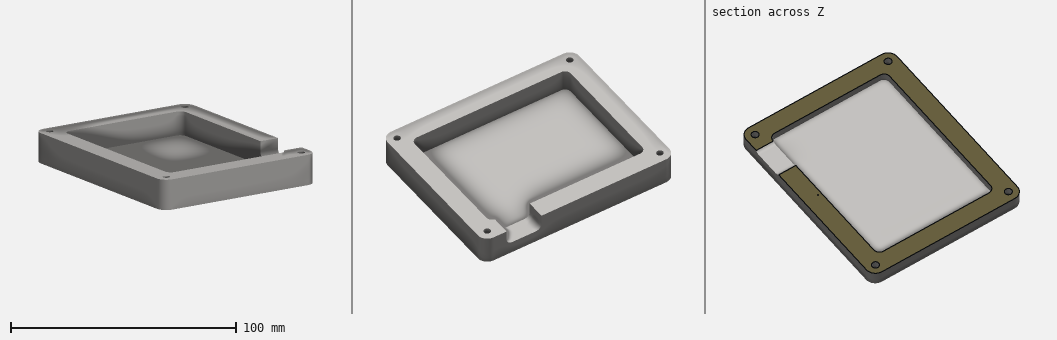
import cadquery as cq

length = 102.0
width = 82.5
height = 14.0
corner_radius = 5.0

wall = 9.5
floor_thickness = 3.0
inner_diameter = 6.0

hole_diameter = 3.4

notch_width = 18.6
notch_center_x = 29.7
notch_floor = 6.0

inner_radius = inner_diameter / 2
pocket_length = length - 2 * wall
pocket_width = width - 2 * wall


def make_block():
    block = cq.Workplane("XY").box(length, width, height, centered=(True, True, False))
    return block.edges("|Z").fillet(corner_radius)


def make_pocket():
    pocket = (
        cq.Workplane("XY", origin=(0, 0, floor_thickness))
        .rect(pocket_length, pocket_width)
        .extrude(height - floor_thickness)
    )
    return pocket.edges("|Z").fillet(inner_radius)


def make_notch():
    notch_length = wall + inner_radius
    notch = cq.Workplane("XY").box(
        notch_width, notch_length, height - notch_floor, centered=(True, False, False)
    )
    notch = notch.edges("|Y and <Z").fillet(inner_radius)
    return notch.translate((notch_center_x, width / 2 - notch_length, notch_floor))


def make_screw_holes():
    return (
        cq.Workplane("XY")
        .rect(length - 2 * corner_radius, width - 2 * corner_radius, forConstruction=True)
        .vertices()
        .circle(hole_diameter / 2)
        .extrude(height)
    )


result = make_block().cut(make_pocket()).cut(make_notch()).cut(make_screw_holes())